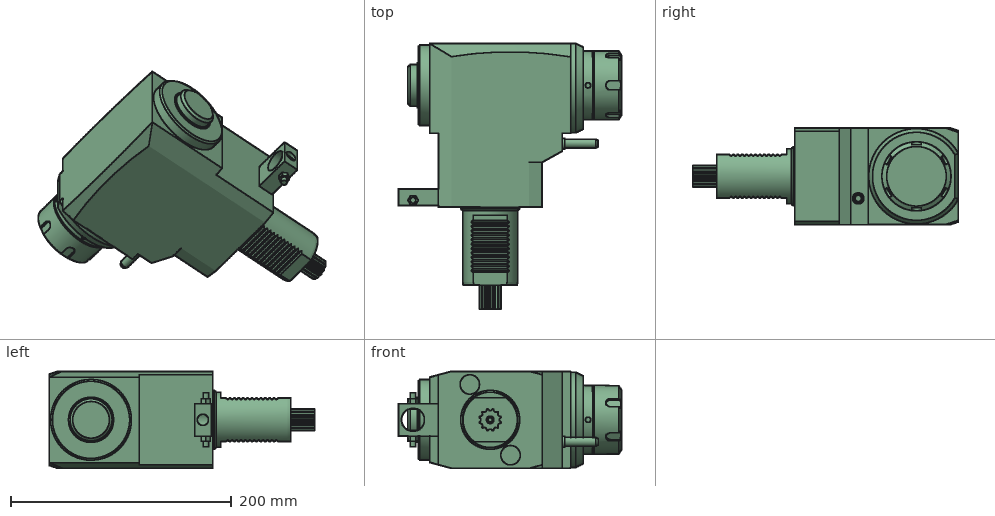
import cadquery as cq
import math


HEIGHT = 88.0
HALF_HEIGHT = HEIGHT / 2
BODY_BACK = 148.5
HEAD_LEFT = -55.0
HEAD_RIGHT = 73.0
HEAD_FRONT = 66.8
FOOT_HALF_WIDTH = 47.0
FOOT_BACK = 40.5
NECK_RIGHT = 65.3
NECK_SLANT_BACK = 50.5
BEVEL_ANGLE = 15.0
BEVEL_START = 35.2
HEAD_RIGHT_BEVEL_START = 71.8
CROWN_RADIUS = 325.4
CROWN_X = 18.0
CROWN_BACK = 140.7
CROWN_ANGLE = 19.0
PLUG_RADIUS = 8.8
PLUG_RECESS = 0.2
PLUG_X = 18.44
PLUG_Z = 32.0

SPINDLE_Y = 110.4
FLANGE_RADIUS = 43.25
FLANGE_END = 84.4
FLANGE_CHAMFER_LENGTH = 7.0
FLANGE_CHAMFER_DEPTH = 3.4
COLLAR_END = 92.8
NUT_START = 94.2
NUT_END = 119.0
NUT_RADIUS = 31.3
NUT_CHAMFER_LENGTH = 2.7
NUT_CHAMFER_DEPTH = 4.3
GROOVE_RADIUS = 25.5
SLOT_COUNT = 6
SLOT_START = 104.8
SLOT_WIDTH = 8.5
SLOT_FLOOR = 28.5
SET_SCREW_COUNT = 4
SET_SCREW_X = 88.7
SET_SCREW_RADIUS = 2.5
SET_SCREW_DEPTH = 2.0

COVER_END = -65.3
COVER_RADIUS = 36.6
COVER_CHAMFER = 1.7
CAP_END = -74.7
CAP_RADIUS = 19.0
CAP_CHAMFER = 2.5
CAP_BASE_RADIUS = 20.5
CAP_BASE_LENGTH = 1.0

SHANK_RADIUS = 25.0
SHANK_LENGTH = 70.5
SHANK_TIP_RADIUS = 24.5
SHANK_TIP_LENGTH = 3.0
SEAT_RADIUS = 26.8
SEAT_LENGTH = 1.5
SEAT_TAPER_LENGTH = 1.7
FLAT_Z = 19.8
FLAT_START = 7.2
TOOTH_COUNT = 12
TOOTH_PITCH = 4.0
FIRST_TOOTH = 13.5
TOOTH_DEPTH = 1.5
TOOTH_WIDTH = 3.4

SPLINE_END = 241 - BODY_BACK
SPLINE_TEETH = 12
SPLINE_RADIUS = 10.1
SPLINE_ROOT_RADIUS = 8.5
SPLINE_TIP_SHARE = 0.15
SPLINE_ROOT_SHARE = 0.3
SPLINE_CHAMFER = 0.7
CENTRE_RADIUS = 3.4
CENTRE_DRILL_RADIUS = 2.0
CENTRE_CONE_DEPTH = 1.5
CENTRE_DEPTH = 7.2

BLOCK_LEFT = -83.1
BLOCK_FRONT = 1.5
BLOCK_BACK = 16.6
BLOCK_HALF_HEIGHT = 14.7
BORE_X = -70.0
BORE_RADIUS = 10.4
SIDE_HOLE_RADIUS = 5.0
SCREW_Y = 6.3
SCREW_RADIUS = 2.7
SCREW_INNER_Z = 9.5
SCREW_OUTER_Z = 24.5
NUT_OUTER_Z = 19.3
NUT_ACROSS_CORNERS = 9.5

PIN_Y = 57.5
PIN_Z = -20.0
PIN_RADIUS = 4.0
PIN_END = 97.8
PIN_TIP_LENGTH = 2.5
PIN_TIP_RADIUS = 3.0
PIN_COLLAR_RADIUS = 5.0
PIN_COLLAR_LENGTH = 2.2
PIN_EMBED = 2.5


def revolve_about_x(profile, y, z):
    """Turn (x, radius) points around the line parallel to X through (y, z)."""
    outline = [(profile[0][0], 0), *profile, (profile[-1][0], 0)]
    solid = cq.Workplane("XY").polyline(outline).close().revolve(360, (0, 0, 0), (1, 0, 0))
    return solid.translate((0, y, z))


def revolve_about_y(profile):
    """Turn (radius, y) points around the Y axis."""
    outline = [(0, profile[0][1]), *profile, (0, profile[-1][1])]
    return cq.Workplane("XY").polyline(outline).close().revolve(360, (0, 0, 0), (0, 1, 0))


def bevelled_bar(left, left_bevel, right, right_bevel, front, back):
    """Bar along Y whose four long edges slope down from the bevel starts to the sides."""
    slope = math.tan(math.radians(BEVEL_ANGLE))
    left_z = HALF_HEIGHT - (left_bevel - left) * slope
    right_z = HALF_HEIGHT - (right - right_bevel) * slope
    upper = [(left, left_z), (left_bevel, HALF_HEIGHT), (right_bevel, HALF_HEIGHT), (right, right_z)]
    lower = [(x, -z) for x, z in reversed(upper)]
    bar = cq.Workplane("XZ").polyline(upper + lower).close().extrude(front - back)
    return bar.translate((0, front, 0))


def crown_envelope():
    """Double cone about a vertical axis that gives the back edges their curved slope."""
    equator_radius = CROWN_RADIUS + HALF_HEIGHT / math.tan(math.radians(CROWN_ANGLE))
    half_section = [
        (0, -HALF_HEIGHT),
        (CROWN_RADIUS, -HALF_HEIGHT),
        (equator_radius, 0),
        (CROWN_RADIUS, HALF_HEIGHT),
        (0, HALF_HEIGHT),
    ]
    cone = cq.Workplane("XZ").polyline(half_section).close().revolve(360, (0, 0, 0), (0, 1, 0))
    return cone.translate((CROWN_X, CROWN_BACK - CROWN_RADIUS, 0))


def housing():
    head = bevelled_bar(
        HEAD_LEFT, -BEVEL_START, HEAD_RIGHT, HEAD_RIGHT_BEVEL_START, HEAD_FRONT, BODY_BACK
    )
    head = head.intersect(crown_envelope())
    foot = bevelled_bar(-FOOT_HALF_WIDTH, -BEVEL_START, FOOT_HALF_WIDTH, BEVEL_START, 0, FOOT_BACK)
    neck_outline = [
        (-FOOT_HALF_WIDTH, FOOT_BACK),
        (FOOT_HALF_WIDTH, FOOT_BACK),
        (NECK_RIGHT, NECK_SLANT_BACK),
        (NECK_RIGHT, HEAD_FRONT),
        (-FOOT_HALF_WIDTH, HEAD_FRONT),
    ]
    neck_plan = cq.Workplane("XY").polyline(neck_outline).close().extrude(HALF_HEIGHT, both=True)
    neck = bevelled_bar(
        -FOOT_HALF_WIDTH, -BEVEL_START, HEAD_RIGHT, HEAD_RIGHT_BEVEL_START, FOOT_BACK, HEAD_FRONT
    )
    body = head.union(foot).union(neck.intersect(neck_plan))

    plug_places = [(-PLUG_X, PLUG_Z), (PLUG_X, -PLUG_Z)]
    plugs = cq.Workplane("XZ").pushPoints(plug_places).circle(PLUG_RADIUS).extrude(-PLUG_RECESS)
    return body.cut(plugs)


def spindle_flange():
    """Round flange cut flat at the back of the housing, chamfered around its outer face."""
    disc = cq.Workplane("YZ").circle(FLANGE_RADIUS).extrude(FLANGE_END - HEAD_RIGHT)
    disc = disc.translate((HEAD_RIGHT, SPINDLE_Y, 0))
    flat_cut = cq.Workplane("XY").box(
        FLANGE_END, FLANGE_RADIUS, 2 * FLANGE_RADIUS, centered=(False, False, True)
    )
    disc = disc.cut(flat_cut.translate((HEAD_RIGHT, BODY_BACK, 0)))
    face = disc.faces(">X")
    return face.chamfer(FLANGE_CHAMFER_LENGTH, FLANGE_CHAMFER_DEPTH)


def collet_nut():
    profile = [
        (FLANGE_END, NUT_RADIUS),
        (COLLAR_END, NUT_RADIUS),
        (COLLAR_END, GROOVE_RADIUS),
        (NUT_START, GROOVE_RADIUS),
        (NUT_START, NUT_RADIUS),
        (NUT_END - NUT_CHAMFER_LENGTH, NUT_RADIUS),
        (NUT_END, NUT_RADIUS - NUT_CHAMFER_DEPTH),
    ]
    nut = revolve_about_x(profile, 0, 0)

    slot_length = NUT_END - SLOT_START + SLOT_WIDTH
    slot = (
        cq.Workplane("XY", origin=(SLOT_START + slot_length / 2, 0, SLOT_FLOOR))
        .slot2D(slot_length, SLOT_WIDTH)
        .extrude(NUT_RADIUS - SLOT_FLOOR)
    )
    for i in range(SLOT_COUNT):
        nut = nut.cut(slot.rotate((0, 0, 0), (1, 0, 0), i * 360 / SLOT_COUNT))

    hole = (
        cq.Workplane("XY", origin=(SET_SCREW_X, 0, NUT_RADIUS - SET_SCREW_DEPTH))
        .circle(SET_SCREW_RADIUS)
        .extrude(NUT_RADIUS)
    )
    for i in range(SET_SCREW_COUNT):
        nut = nut.cut(hole.rotate((0, 0, 0), (1, 0, 0), i * 360 / SET_SCREW_COUNT))
    return nut.translate((0, SPINDLE_Y, 0))


def rear_cover():
    profile = [
        (HEAD_LEFT, COVER_RADIUS),
        (COVER_END + COVER_CHAMFER, COVER_RADIUS),
        (COVER_END, COVER_RADIUS - COVER_CHAMFER),
        (COVER_END, CAP_BASE_RADIUS),
        (COVER_END - CAP_BASE_LENGTH, CAP_BASE_RADIUS),
        (COVER_END - CAP_BASE_LENGTH, CAP_RADIUS),
        (CAP_END + CAP_CHAMFER, CAP_RADIUS),
        (CAP_END, CAP_RADIUS - CAP_CHAMFER),
    ]
    return revolve_about_x(profile, SPINDLE_Y, 0)


def tooth_grooves():
    """V-grooves across the upper flat of the shank."""
    grooves = cq.Workplane("YZ")
    for i in range(TOOTH_COUNT):
        y = -FIRST_TOOTH - i * TOOTH_PITCH
        corners = [
            (y - TOOTH_WIDTH / 2, FLAT_Z),
            (y, FLAT_Z - TOOTH_DEPTH),
            (y + TOOTH_WIDTH / 2, FLAT_Z),
        ]
        grooves = grooves.polyline(corners).close()
    return grooves.extrude(SHANK_RADIUS, both=True)


def shank():
    profile = [
        (SEAT_RADIUS, 0),
        (SEAT_RADIUS, -SEAT_LENGTH),
        (SHANK_RADIUS, -SEAT_LENGTH - SEAT_TAPER_LENGTH),
        (SHANK_RADIUS, SHANK_TIP_LENGTH - SHANK_LENGTH),
        (SHANK_TIP_RADIUS, -SHANK_LENGTH),
    ]
    turned = revolve_about_y(profile)
    flat_cut = (
        cq.Workplane("XY")
        .box(2 * SHANK_RADIUS, SHANK_LENGTH, SHANK_RADIUS, centered=(True, False, False))
        .translate((0, -FLAT_START - SHANK_LENGTH, FLAT_Z))
    )
    upper_cut = flat_cut.union(tooth_grooves())
    return turned.cut(upper_cut).cut(upper_cut.mirror("XY"))


def spline():
    """Toothed drive end with a centre hole."""
    pitch_angle = 2 * math.pi / SPLINE_TEETH
    points = []
    for i in range(SPLINE_TEETH):
        centre = (i + 0.5) * pitch_angle
        corners = [
            (SPLINE_ROOT_RADIUS, -0.5 + SPLINE_ROOT_SHARE / 2),
            (SPLINE_RADIUS, -SPLINE_TIP_SHARE / 2),
            (SPLINE_RADIUS, SPLINE_TIP_SHARE / 2),
            (SPLINE_ROOT_RADIUS, 0.5 - SPLINE_ROOT_SHARE / 2),
        ]
        for radius, share in corners:
            angle = centre + share * pitch_angle
            points.append((radius * math.cos(angle), radius * math.sin(angle)))
    star = cq.Workplane("XZ").polyline(points).close().extrude(SPLINE_END)
    envelope = revolve_about_y(
        [
            (SPLINE_RADIUS, 0),
            (SPLINE_RADIUS, SPLINE_CHAMFER - SPLINE_END),
            (SPLINE_RADIUS - SPLINE_CHAMFER, -SPLINE_END),
        ]
    )
    centre_hole = revolve_about_y(
        [
            (CENTRE_RADIUS, -SPLINE_END),
            (CENTRE_DRILL_RADIUS, CENTRE_CONE_DEPTH - SPLINE_END),
            (CENTRE_DRILL_RADIUS, CENTRE_DEPTH - SPLINE_END),
        ]
    )
    return star.intersect(envelope).cut(centre_hole)


def clamp_screw():
    """Upper set screw of the coolant block with its lock nut."""
    screw = (
        cq.Workplane("XY", origin=(BORE_X, SCREW_Y, SCREW_INNER_Z))
        .circle(SCREW_RADIUS)
        .extrude(SCREW_OUTER_Z - SCREW_INNER_Z)
    )
    nut = (
        cq.Workplane("XY", origin=(BORE_X, SCREW_Y, BLOCK_HALF_HEIGHT))
        .polygon(6, NUT_ACROSS_CORNERS)
        .extrude(NUT_OUTER_Z - BLOCK_HALF_HEIGHT)
    )
    return screw.union(nut)


def coolant_block():
    length = -FOOT_HALF_WIDTH - BLOCK_LEFT
    depth = BLOCK_BACK - BLOCK_FRONT
    block = (
        cq.Workplane("XY")
        .box(length, depth, 2 * BLOCK_HALF_HEIGHT, centered=(False, False, True))
        .translate((BLOCK_LEFT, BLOCK_FRONT, 0))
    )
    bore = cq.Workplane("XZ", origin=(BORE_X, BLOCK_BACK, 0)).circle(BORE_RADIUS).extrude(depth)
    side_hole = (
        cq.Workplane("YZ", origin=(BLOCK_LEFT, (BLOCK_FRONT + BLOCK_BACK) / 2, 0))
        .circle(SIDE_HOLE_RADIUS)
        .extrude(BORE_X - BLOCK_LEFT)
    )
    screw = clamp_screw()
    return block.cut(bore).cut(side_hole).union(screw).union(screw.mirror("XY"))


def locating_pin():
    collar_end = NECK_RIGHT + PIN_COLLAR_LENGTH
    profile = [
        (NECK_RIGHT - PIN_EMBED, PIN_COLLAR_RADIUS),
        (collar_end, PIN_COLLAR_RADIUS),
        (collar_end, PIN_RADIUS),
        (PIN_END - PIN_TIP_LENGTH, PIN_RADIUS),
        (PIN_END, PIN_TIP_RADIUS),
    ]
    return revolve_about_x(profile, PIN_Y, PIN_Z)


result = (
    housing()
    .union(spindle_flange())
    .union(collet_nut())
    .union(rear_cover())
    .union(shank())
    .union(spline())
    .union(coolant_block())
    .union(locating_pin())
)